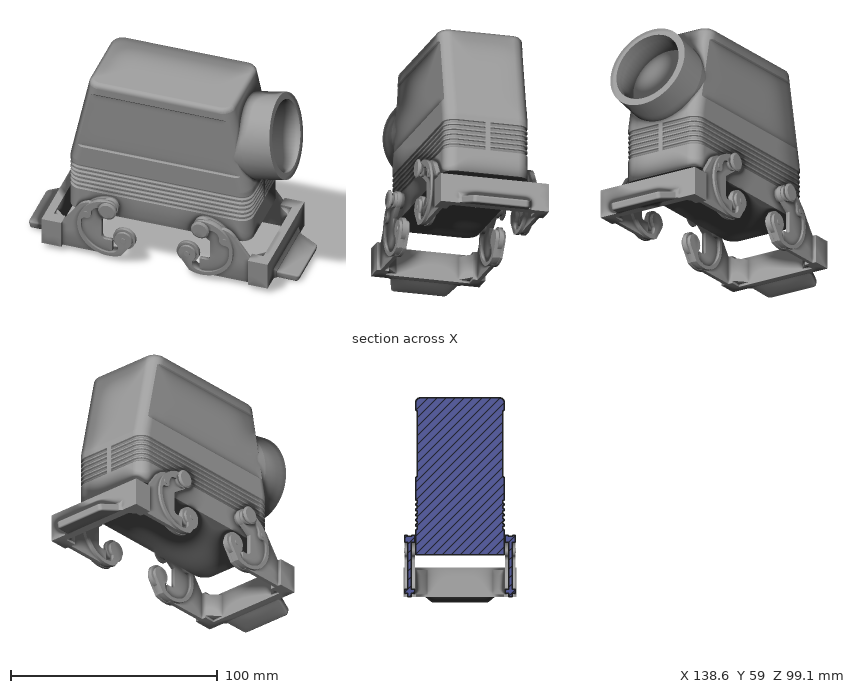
import cadquery as cq
import math


OVERLAP = 1.0

HOOD_LENGTH = 93.3
HOOD_WIDTH = 43.0
HOOD_HEIGHT = 76.0
CORNER_RADIUS = 6.0
TOP_EDGE_RADIUS = 2.4
TAPER_START = 29.3
TAPER_BLEND_RADIUS = 6.0
TILT = 12.0

PANEL_DEPTH = 0.75
PANEL_BOTTOM = 37.2
PANEL_TOP = 70.1
PANEL_BEVEL = 0.8

GROOVE_COUNT = 6
GROOVE_PITCH = 2.5
GROOVE_TOP = 26.4
GROOVE_OPENING = 1.9
GROOVE_DEPTH = 0.75
GROOVE_UPPER_SLOPE = 0.3
END_BAR_WIDTH = 2.5

ENTRY_RADIUS = 21.4
ENTRY_BORE_RADIUS = 17.9
ENTRY_MOUTH_X = 57.9
ENTRY_MOUTH_Z = 52.05
ENTRY_LENGTH = 15.3
ENTRY_ROOT_LENGTH = 5.3
ENTRY_ROOT_RADIUS = 20.7
ENTRY_BORE_DEPTH = 15.0

YOKE_OUTER_X = 57.8
YOKE_BAR_THICKNESS = 4.2
YOKE_BLOCK_LENGTH = 10.1
YOKE_HALF_WIDTH = 27.4
YOKE_INNER_HALF_WIDTH = 21.2
YOKE_TOP = -6.2
YOKE_BOTTOM = -20.4
GUSSET_DROP = 1.2
GUSSET_WIDTH = 5.5

LIP_INNER_Y = 21.8
PLATE_INNER_Y = 23.4
PLATE_OUTER_Y = 25.5
LIP_OUTER_Y = 26.8
RING_X = -23.9
RING_Z = -4.6
RING_RADIUS = 15.9
RING_CORE_RADIUS = 15.6
RIM_INNER_RADIUS = 14.0
TIP_X = -16.3
TIP_Z = -9.85
TIP_RADIUS = 5.7
TIP_LIP_RADIUS = 4.4
CROTCH_RADIUS = 3.5
CROTCH_Z = -14.65
CROTCH_BOTTOM = CROTCH_Z - CROTCH_RADIUS
SLOT_X = -27.7
SLOT_FLOOR_Z = -12.0
SLOT_END_X = -22.35
SLOT_CORNER_RADIUS = 2.0
HUB_RADIUS = 4.4
HUB_LIP_RADIUS = 3.8

SHOULDER_START = (-40.6, 3.5)
SHOULDER_MIDDLE = (-38.4, 6.1)
SHOULDER_END = (-34.4, 7.8)
HUB_NECK = (-22.3, 3.2)
SLOT_SHOULDER = (SLOT_X, -0.5)
RIM_NOTCH_MIDDLE = (-37.0, -1.0)
RIM_NECK_MIDDLE = (-31.8, 5.3)
RIM_NECK_END = (-29.5, 6.7)

RIM_INNER_MIDDLE_ANGLE = 220
RIM_INNER_END_ANGLE = 174
LAND_MIDDLE_ANGLE = 315
LAND_END_ANGLE = 10
RING_END_ANGLE = 294
TIP_JOIN_ANGLE = 325

PIVOT_X = -23.7
PIVOT_Z = 7.4
PIVOT_STEM_RADIUS = 2.4
PIVOT_HEAD_RADIUS = 4.6
PIVOT_HEAD_THICKNESS = 1.1
PIVOT_HEAD_CHAMFER_RISE = 0.5
PIVOT_HEAD_CHAMFER_RUN = 0.85
PIVOT_END_Y = 29.5
PIVOT_START_Y = 18.0
RIVET_X = -35.4
RIVET_Z = 2.1
RIVET_RADIUS = 1.3
RIVET_RISE = 0.35
RIVET_LAND_RADIUS = 2.7

TAB_TILT = 15.0
TAB_LENGTH = 11.12
TAB_THICKNESS = 3.6
TAB_ROOT_HALF_WIDTH = 17.3
TAB_TIP_HALF_WIDTH = 13.8
TAB_CORNER_RADIUS = 2.0
TAB_EDGE_RADIUS = 0.8
TAB_COLLAR = 1.2
TAB_COLLAR_RISE = 1.8
TAB_EMBED = 1.5


def polar(center, radius, angle):
    """Point at the given angle (degrees) on a circle."""
    a = math.radians(angle)
    return (center[0] + radius * math.cos(a), center[1] + radius * math.sin(a))


def slab(outline, y_start, y_end):
    """Extrude an XZ outline from y_start to y_end."""
    return outline.extrude(y_start - y_end).translate((0, y_start, 0))


def disc(x, z, radius, y_start, y_end):
    return slab(cq.Workplane("XZ").center(x, z).circle(radius), y_start, y_end)


def four_way(solid):
    """The solid together with its mirror images in the XZ and YZ planes."""
    pair = solid.union(solid.mirror("XZ"))
    return pair.union(pair.mirror("YZ"))


def hood_shell():
    half = HOOD_LENGTH / 2
    inset = (HOOD_HEIGHT - TAPER_START) * math.tan(math.radians(TILT))
    body = (
        cq.Workplane("XZ")
        .moveTo(-half, 0)
        .lineTo(half, 0)
        .lineTo(half, TAPER_START)
        .lineTo(half - inset, HOOD_HEIGHT)
        .lineTo(inset - half, HOOD_HEIGHT)
        .lineTo(-half, TAPER_START)
        .close()
        .extrude(HOOD_WIDTH / 2, both=True)
    )
    kinks = cq.selectors.BoxSelector(
        (-HOOD_LENGTH, -HOOD_WIDTH, TAPER_START - OVERLAP),
        (HOOD_LENGTH, HOOD_WIDTH, TAPER_START + OVERLAP),
    )
    body = body.edges("|Y").edges(kinks).fillet(TAPER_BLEND_RADIUS)
    body = body.faces("<Y or >Y").edges("not(<Z or >Z)").fillet(CORNER_RADIUS)
    return body.faces(">Z").edges().fillet(TOP_EDGE_RADIUS)


def panel_recess():
    """Bevelled slab that cuts the shallow panel into the +Y side."""
    face = HOOD_WIDTH / 2
    floor = face - PANEL_DEPTH
    return (
        cq.Workplane("YZ")
        .moveTo(floor, PANEL_BOTTOM + PANEL_BEVEL)
        .lineTo(face, PANEL_BOTTOM)
        .lineTo(face, PANEL_TOP)
        .lineTo(floor, PANEL_TOP - PANEL_BEVEL)
        .close()
        .extrude(HOOD_LENGTH, both=True)
    )


def hood_section(offset, z):
    """Rounded hood outline at height z, moved inward by offset."""
    return (
        cq.Sketch()
        .rect(HOOD_LENGTH - 2 * offset, HOOD_WIDTH - 2 * offset)
        .vertices()
        .fillet(CORNER_RADIUS - offset)
        .moved(cq.Location(cq.Vector(0, 0, z)))
    )


def groove_core(z_low, offset_low, z_high, offset_high):
    """Piece of hood left standing between two heights inside a groove."""
    return (
        cq.Workplane("XY")
        .placeSketch(hood_section(offset_low, z_low), hood_section(offset_high, z_high))
        .loft()
    )


def groove(top):
    """Ring of material removed by one groove, with a plain bar left on each end wall."""
    bottom = top - GROOVE_OPENING
    floor_top = top - GROOVE_UPPER_SLOPE
    floor_bottom = bottom + GROOVE_DEPTH
    ring = cq.Workplane("XY").box(
        HOOD_LENGTH + OVERLAP, HOOD_WIDTH + OVERLAP, GROOVE_OPENING, centered=(True, True, False)
    ).translate((0, 0, bottom))
    ring = ring.cut(groove_core(bottom, 0, floor_bottom, GROOVE_DEPTH))
    ring = ring.cut(groove_core(floor_bottom, GROOVE_DEPTH, floor_top, GROOVE_DEPTH))
    ring = ring.cut(groove_core(floor_top, GROOVE_DEPTH, top, 0))
    bar = cq.Workplane("XY").box(2 * HOOD_LENGTH, END_BAR_WIDTH, 2 * HOOD_HEIGHT)
    return ring.cut(bar)


def cable_entry_plane():
    """Plane of the entry mouth, facing outward along the entry axis."""
    a = math.radians(TILT)
    return cq.Plane(
        origin=(ENTRY_MOUTH_X, 0, ENTRY_MOUTH_Z),
        xDir=(0, 1, 0),
        normal=(math.cos(a), 0, math.sin(a)),
    )


def hood():
    body = hood_shell()
    recess = panel_recess()
    body = body.cut(recess).cut(recess.mirror("XZ"))
    for i in range(GROOVE_COUNT):
        body = body.cut(groove(GROOVE_TOP - i * GROOVE_PITCH))
    mouth = cq.Workplane(cable_entry_plane())
    root = (
        mouth.workplane(offset=-ENTRY_LENGTH)
        .circle(ENTRY_RADIUS)
        .workplane(offset=-ENTRY_ROOT_LENGTH)
        .circle(ENTRY_ROOT_RADIUS)
        .loft()
    )
    body = body.union(root.union(mouth.circle(ENTRY_RADIUS).extrude(-ENTRY_LENGTH)))
    return body.cut(mouth.circle(ENTRY_BORE_RADIUS).extrude(-ENTRY_BORE_DEPTH))


def web_outline():
    """Flat arm from the yoke block to the pivot, filling the inside of the C."""
    block_x = YOKE_BLOCK_LENGTH - YOKE_OUTER_X
    embedded_x = block_x - OVERLAP
    return (
        cq.Workplane("XZ")
        .moveTo(embedded_x, YOKE_TOP)
        .lineTo(block_x, YOKE_TOP)
        .lineTo(*SHOULDER_START)
        .threePointArc(SHOULDER_MIDDLE, SHOULDER_END)
        .lineTo(PIVOT_X, PIVOT_Z)
        .lineTo(*HUB_NECK)
        .lineTo(*SLOT_SHOULDER)
        .lineTo(SLOT_X, SLOT_FLOOR_Z + SLOT_CORNER_RADIUS)
        .radiusArc((SLOT_X + SLOT_CORNER_RADIUS, SLOT_FLOOR_Z), -SLOT_CORNER_RADIUS)
        .lineTo(SLOT_END_X, SLOT_FLOOR_Z)
        .lineTo(SLOT_END_X, CROTCH_BOTTOM - OVERLAP)
        .lineTo(RING_X - OVERLAP, YOKE_BOTTOM)
        .lineTo(embedded_x, YOKE_BOTTOM)
        .close()
    )


def rim_outline(ring_radius):
    """C-shaped rim from the pivot, round the ring, to the tip."""
    ring = (RING_X, RING_Z)
    rivet = (RIVET_X, RIVET_Z)
    tip = (TIP_X, TIP_Z)
    return (
        cq.Workplane("XZ")
        .moveTo(SLOT_END_X, CROTCH_BOTTOM)
        .lineTo(*polar(ring, RIM_INNER_RADIUS, 270))
        .threePointArc(
            polar(ring, RIM_INNER_RADIUS, RIM_INNER_MIDDLE_ANGLE),
            polar(ring, RIM_INNER_RADIUS, RIM_INNER_END_ANGLE),
        )
        .threePointArc(RIM_NOTCH_MIDDLE, polar(rivet, RIVET_LAND_RADIUS, 270))
        .threePointArc(
            polar(rivet, RIVET_LAND_RADIUS, LAND_MIDDLE_ANGLE),
            polar(rivet, RIVET_LAND_RADIUS, LAND_END_ANGLE),
        )
        .threePointArc(RIM_NECK_MIDDLE, RIM_NECK_END)
        .lineTo(PIVOT_X, PIVOT_Z)
        .lineTo(*polar(ring, ring_radius, 90))
        .threePointArc(polar(ring, ring_radius, 180), polar(ring, ring_radius, RING_END_ANGLE))
        .lineTo(*polar(tip, TIP_LIP_RADIUS, TIP_JOIN_ANGLE))
        .lineTo(*tip)
        .close()
    )


def rim_layer(y_start, y_end, ring_radius, hub_radius, tip_radius):
    """One layer of the rim with its round pivot hub and round tip."""
    layer = slab(rim_outline(ring_radius), y_start, y_end)
    layer = layer.cut(crotch_cut())
    layer = layer.union(disc(PIVOT_X, PIVOT_Z, hub_radius, y_start, y_end))
    return layer.union(disc(TIP_X, TIP_Z, tip_radius, y_start, y_end))


def crotch_cut():
    """Half-round relief between the slot end and the tip."""
    outline = (
        cq.Workplane("XZ")
        .moveTo(SLOT_END_X, CROTCH_BOTTOM)
        .threePointArc(
            (SLOT_END_X + CROTCH_RADIUS, CROTCH_Z), (SLOT_END_X, CROTCH_Z + CROTCH_RADIUS)
        )
        .close()
    )
    return slab(outline, LIP_INNER_Y, LIP_OUTER_Y)


def pivot_pin():
    """Headed pin that ties the hook to the hood wall."""
    head_start = PIVOT_END_Y - PIVOT_HEAD_THICKNESS
    rim_end = PIVOT_END_Y - PIVOT_HEAD_CHAMFER_RISE
    profile = (
        cq.Workplane("XY")
        .moveTo(0, PIVOT_START_Y)
        .lineTo(PIVOT_STEM_RADIUS, PIVOT_START_Y)
        .lineTo(PIVOT_STEM_RADIUS, head_start)
        .lineTo(PIVOT_HEAD_RADIUS, head_start)
        .lineTo(PIVOT_HEAD_RADIUS, rim_end)
        .lineTo(PIVOT_HEAD_RADIUS - PIVOT_HEAD_CHAMFER_RUN, PIVOT_END_Y)
        .lineTo(0, PIVOT_END_Y)
        .close()
    )
    return profile.revolve(360, (0, 0, 0), (0, 1, 0)).translate((PIVOT_X, 0, PIVOT_Z))


def hook():
    body = rim_layer(PLATE_INNER_Y, PLATE_OUTER_Y, RING_CORE_RADIUS, HUB_RADIUS, TIP_RADIUS)
    body = body.union(slab(web_outline(), PLATE_INNER_Y, PLATE_OUTER_Y))
    for y_start, y_end in ((LIP_INNER_Y, PLATE_INNER_Y), (PLATE_OUTER_Y, LIP_OUTER_Y)):
        body = body.union(rim_layer(y_start, y_end, RING_RADIUS, HUB_LIP_RADIUS, TIP_LIP_RADIUS))
    body = body.union(pivot_pin())
    for x, z in ((RIVET_X, RIVET_Z), (TIP_X, TIP_Z)):
        body = body.union(disc(x, z, RIVET_RADIUS, LIP_OUTER_Y, LIP_OUTER_Y + RIVET_RISE))
    return body


def yoke_frame():
    """Cross bar with an end block on each side and a gusset in each inner corner."""
    block_end = YOKE_BLOCK_LENGTH - YOKE_OUTER_X
    bar_end = YOKE_BAR_THICKNESS - YOKE_OUTER_X
    inner = YOKE_INNER_HALF_WIDTH
    frame = (
        cq.Workplane("XY", origin=(0, 0, YOKE_BOTTOM))
        .moveTo(-YOKE_OUTER_X, -YOKE_HALF_WIDTH)
        .lineTo(block_end, -YOKE_HALF_WIDTH)
        .lineTo(block_end, -inner)
        .lineTo(bar_end, -inner)
        .lineTo(bar_end, inner)
        .lineTo(block_end, inner)
        .lineTo(block_end, YOKE_HALF_WIDTH)
        .lineTo(-YOKE_OUTER_X, YOKE_HALF_WIDTH)
        .close()
        .extrude(YOKE_TOP - YOKE_BOTTOM)
    )
    gusset = (
        cq.Workplane("XY", origin=(0, 0, YOKE_BOTTOM + GUSSET_DROP))
        .moveTo(bar_end, inner)
        .lineTo(block_end, inner)
        .lineTo(bar_end, inner - GUSSET_WIDTH)
        .close()
        .extrude(YOKE_TOP - YOKE_BOTTOM - 2 * GUSSET_DROP)
    )
    return frame.union(gusset).union(gusset.mirror("XZ"))


def finger_tab():
    """Tapered tab leaning down and outward from the lower edge of the yoke bar."""
    flare = (TAB_ROOT_HALF_WIDTH - TAB_TIP_HALF_WIDTH) / TAB_LENGTH
    root_half = TAB_ROOT_HALF_WIDTH + flare * TAB_EMBED
    tab = (
        cq.Workplane("XY")
        .moveTo(TAB_EMBED, -root_half)
        .lineTo(TAB_EMBED, root_half)
        .lineTo(-TAB_LENGTH, TAB_TIP_HALF_WIDTH)
        .lineTo(-TAB_LENGTH, -TAB_TIP_HALF_WIDTH)
        .close()
        .extrude(TAB_THICKNESS)
    )
    tab = tab.edges("|Z and <X").fillet(TAB_CORNER_RADIUS)
    tab = tab.edges("(<Z or >Z) and (not >X)").fillet(TAB_EDGE_RADIUS)
    return (
        tab.rotate((0, 0, 0), (0, 1, 0), -TAB_TILT)
        .translate((-YOKE_OUTER_X, 0, YOKE_BOTTOM))
    )


def tab_collar():
    """Flare that widens the tab where it runs into the yoke bar."""
    root_height = TAB_THICKNESS / math.cos(math.radians(TAB_TILT))
    section_plane = cq.Plane(
        origin=(-YOKE_OUTER_X, 0, YOKE_BOTTOM), xDir=(0, -1, 0), normal=(-1, 0, 0)
    )
    height = root_height + TAB_COLLAR_RISE
    return (
        cq.Workplane(section_plane)
        .center(0, height / 2)
        .rect(2 * (TAB_ROOT_HALF_WIDTH + TAB_COLLAR), height)
        .workplane(offset=TAB_COLLAR)
        .center(0, -TAB_COLLAR_RISE / 2)
        .rect(2 * TAB_ROOT_HALF_WIDTH, root_height)
        .loft()
    )


yoke = yoke_frame().union(finger_tab()).union(tab_collar())
levers = four_way(hook()).union(yoke).union(yoke.mirror("YZ"))
result = hood().union(levers)